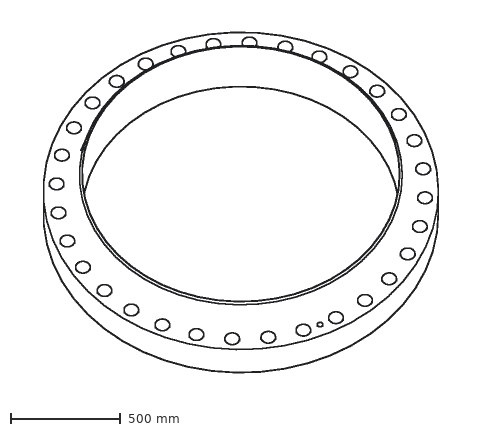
import cadquery as cq
import math

flange_diameter = 1803.4
flange_thickness = 177.8
bore_diameter = 1447.8

overall_height = 306.32
hub_base_diameter = 1530.0
neck_diameter = 1473.2
neck_length = 5.0
weld_land_width = 1.6
bevel_angle = 37.5
hub_fillet_radius = 5.0

bolt_count = 32
bolt_circle_diameter = 1682.75
bolt_hole_diameter = 66.7

stepped_hole_diameter = 25.4
stepped_hole_depth = flange_thickness / 2
pilot_diameter = 12.7
stepped_hole_angle = 180.0 / bolt_count


def ring_body():
    """Revolve the flange and hub section about Z, then round the root of the hub."""
    bore_radius = bore_diameter / 2
    flange_radius = flange_diameter / 2
    neck_radius = neck_diameter / 2
    land_radius = bore_radius + weld_land_width
    bevel_height = (neck_radius - land_radius) * math.tan(math.radians(bevel_angle))
    neck_top_z = overall_height - bevel_height
    section = (
        cq.Workplane("XZ")
        .moveTo(bore_radius, 0)
        .lineTo(flange_radius, 0)
        .lineTo(flange_radius, flange_thickness)
        .lineTo(hub_base_diameter / 2, flange_thickness)
        .lineTo(neck_radius, neck_top_z - neck_length)
        .lineTo(neck_radius, neck_top_z)
        .lineTo(land_radius, overall_height)
        .lineTo(bore_radius, overall_height)
        .close()
    )
    body = section.revolve(360, (0, 0, 0), (0, 1, 0))
    hub_root = cq.selectors.RadiusNthSelector(-2)
    return body.edges("%CIRCLE").edges(hub_root).fillet(hub_fillet_radius)


def bolt_hole_cutter():
    """Through cylinders spaced evenly on the bolt circle."""
    return (
        cq.Workplane("XY")
        .polarArray(bolt_circle_diameter / 2, 0, 360, bolt_count)
        .circle(bolt_hole_diameter / 2)
        .extrude(flange_thickness)
    )


def stepped_hole_cutter():
    """Counterbored through hole on the bolt circle, half a pitch from the +X bolt hole."""
    pilot = cq.Workplane("XY").circle(pilot_diameter / 2).extrude(flange_thickness)
    counterbore = (
        cq.Workplane("XY")
        .workplane(offset=flange_thickness - stepped_hole_depth)
        .circle(stepped_hole_diameter / 2)
        .extrude(stepped_hole_depth)
    )
    return (
        pilot.union(counterbore)
        .translate((bolt_circle_diameter / 2, 0, 0))
        .rotate((0, 0, 0), (0, 0, 1), stepped_hole_angle)
    )


result = ring_body().cut(bolt_hole_cutter()).cut(stepped_hole_cutter())